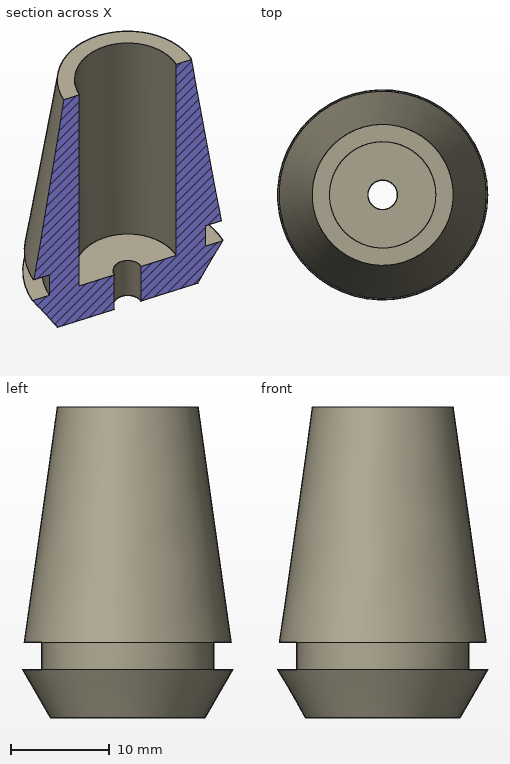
import cadquery as cq
import math

length = 31.5
groove_bottom = 4.88
groove_top = 7.65

flange_radius = 10.65
body_base_radius = 10.5
groove_radius = 8.73
body_half_angle = 8.0
flange_half_angle = 30.0

bore_radius = 5.4
hole_radius = 1.48
bore_floor = groove_bottom

flange_base_radius = flange_radius - groove_bottom * math.tan(math.radians(flange_half_angle))
body_top_radius = body_base_radius - (length - groove_top) * math.tan(math.radians(body_half_angle))

half_section = [
    (hole_radius, 0),
    (flange_base_radius, 0),
    (flange_radius, groove_bottom),
    (groove_radius, groove_bottom),
    (groove_radius, groove_top),
    (body_base_radius, groove_top),
    (body_top_radius, length),
    (bore_radius, length),
    (bore_radius, bore_floor),
    (hole_radius, bore_floor),
]

result = cq.Workplane("XZ").polyline(half_section).close().revolve(360, (0, 0), (0, 1))